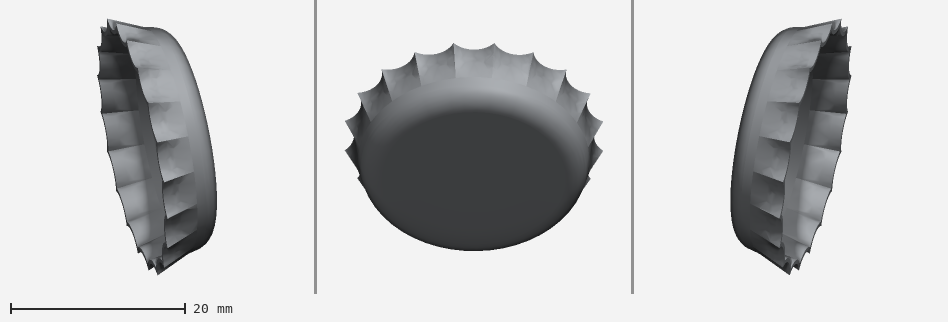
import cadquery as cq
import math

overall_width = 29.6
height = 7.0
wall = 0.47

flute_count = 20
half_pitch = math.pi / flute_count
tip_radius = overall_width / 2 / math.cos(half_pitch)
valley_radius = 13.73
inner_tip_radius = 14.12
inner_valley_radius = valley_radius - wall
skirt_height = 4.0
skirt_top_radius = 13.23

flat_radius = 10.55
band_top_height = 5.15
band_top_radius = 12.95


def polar(radius, angle):
    return (radius * math.cos(angle), radius * math.sin(angle))


def ring_outline(plane, corner_radius, middle_radius):
    """Closed ring of equal arcs, each through a point midway between two corners."""
    outline = plane.moveTo(*polar(corner_radius, -half_pitch))
    for flute in range(flute_count):
        middle = 2 * half_pitch * flute
        outline = outline.threePointArc(
            polar(middle_radius, middle),
            polar(corner_radius, middle + half_pitch),
        )
    return outline.close()


def skirt_body(corner_radius, middle_radius, top_radius):
    """Ruled skirt running from the scalloped mouth to a plain circle."""
    mouth = ring_outline(cq.Workplane("XZ"), corner_radius, middle_radius)
    skirt = ring_outline(mouth.workplane(offset=-skirt_height), top_radius, top_radius)
    return skirt.loft(ruled=True, combine=True)


def crown_body(inset):
    """Revolved crown whose surface lies the given distance inside the outer surface."""
    end_height = height - inset
    base_radius = skirt_top_radius - inset
    band_radius = band_top_radius - inset
    profile = (
        cq.Workplane("XY")
        .moveTo(0, skirt_height)
        .lineTo(0, end_height)
        .lineTo(flat_radius, end_height)
        .tangentArcPoint((band_radius, band_top_height), relative=False)
        .lineTo(base_radius, skirt_height)
        .close()
    )
    return profile.revolve(360, (0, 0, 0), (0, 1, 0))


outside = skirt_body(tip_radius, valley_radius, skirt_top_radius).union(crown_body(0))
cavity = skirt_body(inner_tip_radius, inner_valley_radius, skirt_top_radius - wall).union(crown_body(wall))
result = outside.cut(cavity)